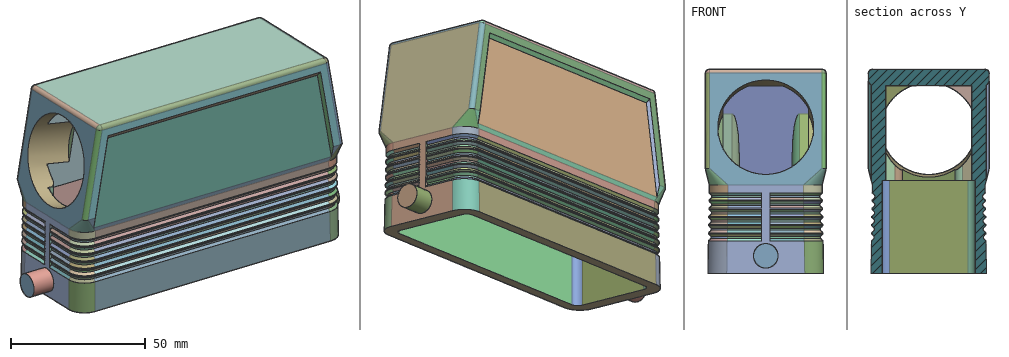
import cadquery as cq
import math


TOTAL_LENGTH = 138.2
BASE_TOP = 12.2
NECK_BOTTOM = 30.0
NECK_TOP = 32.9
HOOD_BOTTOM = 39.1
HOOD_TOP = 76.0

BASE_HALF_X = 21.5
BASE_HALF_Y = 60.3
NECK_HALF_X = 21.0
NECK_HALF_Y = 59.8
HOOD_HALF_X = 22.5
HOOD_TOP_HALF_Y = 52.1
LOWER_CORNER = 7.0
HOOD_ROUND = 1.7

GROOVE_COUNT = 6
GROOVE_HEIGHT = 2.6
GROOVE_FLOOR = 0.7
GROOVE_DEPTH = 1.0
GRIP_BAR_WIDTH = 3.2

PANEL_DEPTH = 1.1
PANEL_END_BEVEL = 1.0
PANEL_TOP_BEVEL = 1.5
PANEL_TOP = 71.5
PANEL_END_MARGIN = 4.8

CEILING = 69.8
LEDGE_HEIGHT = 34.5
CAVITY_HALF_X = 15.9
PILLAR_TOP = 59.4
END_WALL = 6.1
CHANNEL_HALF_X = 9.8
PILLAR_ROUND = 2.8
MOUTH_HALF_X = 17.3
MOUTH_HALF_Y = 54.6
MOUTH_CORNER = 2.8

ENTRY_RADIUS = 17.8
ENTRY_HEIGHT = 54.5
ENTRY_DEPTH = 18.7

PIN_RADIUS = 4.5
PIN_HEIGHT = 6.6

END_SLOPE = (NECK_HALF_Y - HOOD_TOP_HALF_Y) / (HOOD_TOP - NECK_TOP)


def end_half_length(z):
    """Distance from the middle to the sloping hood end at height z."""
    return NECK_HALF_Y - END_SLOPE * (z - NECK_TOP)


def section(z, half_x, half_y, corner):
    """Rounded rectangular wire at height z."""
    plane = cq.Workplane("XY", origin=(0, 0, z))
    wire = plane.rect(2 * half_x, 2 * half_y).val()
    return wire.fillet2D(corner, wire.Vertices())


def box(half_x, half_y, bottom, top):
    """Upright box centred on the Z axis."""
    plane = cq.Workplane("XY", origin=(0, 0, bottom))
    return plane.rect(2 * half_x, 2 * half_y).extrude(top - bottom)


def end_prism(half_x, bottom, top, inset):
    """Block whose ends run parallel to the hood ends, set back by inset."""
    low = end_half_length(bottom) - inset
    high = end_half_length(top) - inset
    outline = [(-low, bottom), (low, bottom), (high, top), (-high, top)]
    return cq.Workplane("YZ").polyline(outline).close().extrude(half_x, both=True)


def lower_half_size(z):
    """Half sizes of the slightly tapering base, grip and neck at height z."""
    share = z / NECK_TOP
    half_x = BASE_HALF_X + share * (NECK_HALF_X - BASE_HALF_X)
    half_y = BASE_HALF_Y + share * (NECK_HALF_Y - BASE_HALF_Y)
    return half_x, half_y


def lower_section(z, depth=0.0):
    """Section of the lower body, set in by depth."""
    half_x, half_y = lower_half_size(z)
    return section(z, half_x - depth, half_y - depth, LOWER_CORNER - depth)


def grooved_sections():
    """Sections of the lower body, from the bottom up through every groove."""
    pitch = (NECK_BOTTOM - BASE_TOP - GROOVE_HEIGHT) / (GROOVE_COUNT - 1)
    flank = (GROOVE_HEIGHT - GROOVE_FLOOR) / 2
    sections = [lower_section(0)]
    for index in range(GROOVE_COUNT):
        start = BASE_TOP + index * pitch
        sections.append(lower_section(start))
        sections.append(lower_section(start + flank, GROOVE_DEPTH))
        sections.append(lower_section(start + flank + GROOVE_FLOOR, GROOVE_DEPTH))
        sections.append(lower_section(start + GROOVE_HEIGHT))
    sections.append(lower_section(NECK_TOP))
    return sections


def loft(wires):
    """Straight-sided solid through the given wires."""
    return cq.Workplane(cq.Solid.makeLoft(wires, True))


def outer_body():
    """Solid outside shape: grooved base and neck, flared shoulder and tapering hood."""
    hood_foot = section(HOOD_BOTTOM, HOOD_HALF_X, end_half_length(HOOD_BOTTOM), HOOD_ROUND)
    hood_roof = section(HOOD_TOP, HOOD_HALF_X, HOOD_TOP_HALF_Y, HOOD_ROUND)
    lower = loft(grooved_sections())
    shoulder = loft([lower_section(NECK_TOP), hood_foot])
    hood = loft([hood_foot, hood_roof]).faces(">Z").edges().fillet(HOOD_ROUND)
    bars = loft([lower_section(0), lower_section(NECK_TOP)])
    bars = bars.intersect(box(GRIP_BAR_WIDTH / 2, BASE_HALF_Y, 0, NECK_TOP))
    return lower.union(shoulder).union(hood).union(bars)


def side_panel(side):
    """Bevelled recess in one long side, running out through the shoulder below."""
    def rim(x, top, end_margin):
        low = end_half_length(NECK_TOP) - end_margin
        high = end_half_length(top) - end_margin
        outline = [(-low, NECK_TOP), (low, NECK_TOP), (high, top), (-high, top)]
        return cq.Wire.makePolygon([cq.Vector(side * x, y, z) for y, z in outline], close=True)

    floor = HOOD_HALF_X - PANEL_DEPTH
    inner = rim(floor, PANEL_TOP - PANEL_TOP_BEVEL, PANEL_END_MARGIN + PANEL_END_BEVEL)
    outer = rim(HOOD_HALF_X, PANEL_TOP, PANEL_END_MARGIN)
    return loft([inner, outer])


def cavity():
    """Upper chamber with a pillar in each corner, above a wider mouth."""
    pillar_face = end_half_length(PILLAR_TOP) - END_WALL
    channel_end = end_half_length(LEDGE_HEIGHT)
    chamber = box(CAVITY_HALF_X, pillar_face, LEDGE_HEIGHT, CEILING)
    chamber = chamber.union(box(CHANNEL_HALF_X, channel_end, LEDGE_HEIGHT, CEILING))
    edge_limit_y = (pillar_face + channel_end) / 2
    edge_limit_x = (CHANNEL_HALF_X + CAVITY_HALF_X) / 2
    pillar_edges = cq.selectors.BoxSelector(
        (-edge_limit_x, -edge_limit_y, LEDGE_HEIGHT), (edge_limit_x, edge_limit_y, CEILING)
    )
    chamber = chamber.edges("|Z").edges(pillar_edges).fillet(PILLAR_ROUND)
    chamber = chamber.intersect(end_prism(CAVITY_HALF_X, LEDGE_HEIGHT, CEILING, END_WALL))
    mouth = box(MOUTH_HALF_X, MOUTH_HALF_Y, 0, LEDGE_HEIGHT).edges("|Z").fillet(MOUTH_CORNER)
    return chamber.union(mouth)


def cable_entry():
    """Blind bore square to the sloping -Y end."""
    angle = math.atan(END_SLOPE)
    inward = cq.Vector(0, math.cos(angle), -math.sin(angle))
    centre = cq.Vector(0, -end_half_length(ENTRY_HEIGHT), ENTRY_HEIGHT)
    start = centre - inward * ENTRY_DEPTH
    return cq.Workplane(cq.Solid.makeCylinder(ENTRY_RADIUS, 2 * ENTRY_DEPTH, start, inward))


def locking_pin(side):
    """Pin standing out of one end wall."""
    length = TOTAL_LENGTH / 2 - MOUTH_HALF_Y
    root = cq.Vector(0, side * MOUTH_HALF_Y, PIN_HEIGHT)
    outward = cq.Vector(0, side, 0)
    return cq.Workplane(cq.Solid.makeCylinder(PIN_RADIUS, length, root, outward))


result = outer_body().cut(cavity()).cut(cable_entry())
for side in (-1, 1):
    result = result.cut(side_panel(side))
    result = result.union(locking_pin(side))